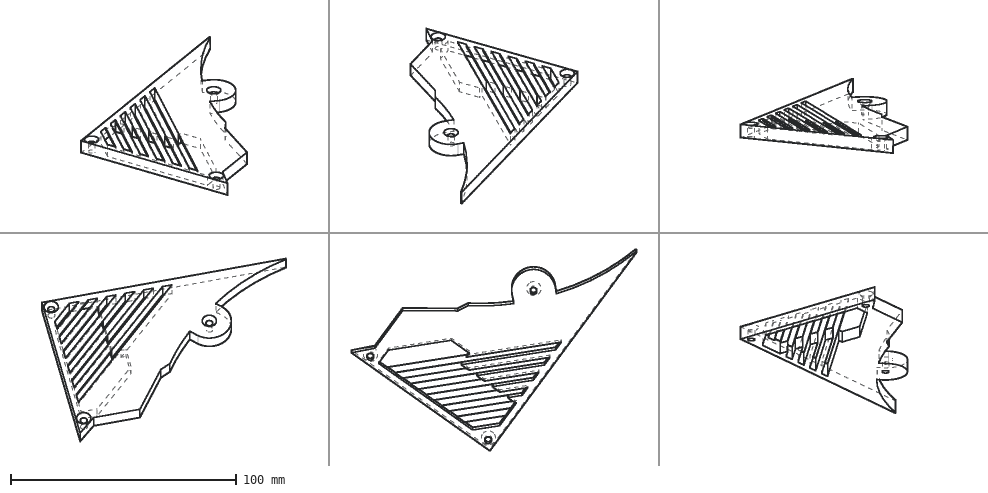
import cadquery as cq
import math

thickness = 6.0
base_length = 76.0
side_height = 111.2
tip_width = 0.5

upper_arc_middle = (8.1, 90.7)
ear_root_upper = (17.9, 75.1)
ear_root_lower = (30.6, 60.4)
lower_arc_middle = (38.2, 53.7)
lower_arc_end = (46.5, 47.7)

step_foot = (48.8, 43.0)
right_edge_x = 68.7
right_edge_top = 28.9
right_edge_bottom = 7.8

ear_center = (26.8, 70.2)
ear_radius = 9.8
hole_inset = 3.5
right_hole_x = 68.1
hole_diameter = 3.0
countersink_diameter = 6.3
countersink_angle = 90.0

slot_count = 6
slot_width = 3.0
slot_pitch = 2 * slot_width
slot_margin = 3.2
outer_slot_leg = 55.3

skin_thickness = 1.0
recess_right = 63.4
recess_right_top = 10.6
recess_upper_left = 33.4
recess_upper_top = 30.6
recess_lower_top = 24.3

DIAGONAL = math.sqrt(0.5)


def make_plate():
    """Flat plate; the sides of the ear run at 45 degrees, tangent to its round end."""
    offset = ear_radius * DIAGONAL
    ear_x, ear_y = ear_center
    return (
        cq.Workplane("XY")
        .lineTo(base_length, 0)
        .lineTo(right_edge_x, right_edge_bottom)
        .lineTo(right_edge_x, right_edge_top)
        .lineTo(*step_foot)
        .lineTo(*lower_arc_end)
        .threePointArc(lower_arc_middle, ear_root_lower)
        .lineTo(ear_x + offset, ear_y - offset)
        .threePointArc((ear_x + offset, ear_y + offset), (ear_x - offset, ear_y + offset))
        .lineTo(*ear_root_upper)
        .threePointArc(upper_arc_middle, (tip_width, side_height))
        .lineTo(0, side_height)
        .close()
        .extrude(thickness)
    )


def make_slot(outer_leg):
    """Through slot between two 45 degree lines, cut off along the two margins."""
    inner_leg = outer_leg - slot_width / DIAGONAL
    return (
        cq.Workplane("XY", origin=(slot_margin, slot_margin, 0))
        .moveTo(inner_leg, 0)
        .lineTo(outer_leg, 0)
        .lineTo(0, outer_leg)
        .lineTo(0, inner_leg)
        .close()
        .extrude(thickness)
    )


def make_recess():
    """Stepped recess, open below, that starts at the inner edge of the shortest slot."""
    shortest_leg = outer_slot_leg - (slot_count - 1) * slot_pitch / DIAGONAL
    corner_cut = slot_margin + shortest_leg - slot_width / DIAGONAL
    diagonal_sum = recess_right + recess_right_top
    return (
        cq.Workplane("XY")
        .moveTo(corner_cut, slot_margin)
        .lineTo(recess_right, slot_margin)
        .lineTo(recess_right, recess_right_top)
        .lineTo(diagonal_sum - recess_upper_top, recess_upper_top)
        .lineTo(recess_upper_left, recess_upper_top)
        .lineTo(recess_upper_left, recess_lower_top)
        .lineTo(slot_margin, recess_lower_top)
        .lineTo(slot_margin, corner_cut)
        .close()
        .extrude(thickness - skin_thickness)
    )


result = make_plate().cut(make_recess())

for index in range(slot_count):
    result = result.cut(make_slot(outer_slot_leg - index * slot_pitch / DIAGONAL))

hole_centers = [(hole_inset, hole_inset), (right_hole_x, hole_inset), ear_center]
result = (
    result.faces(">Z")
    .workplane(origin=(0, 0, thickness))
    .pushPoints(hole_centers)
    .cskHole(hole_diameter, countersink_diameter, countersink_angle)
)